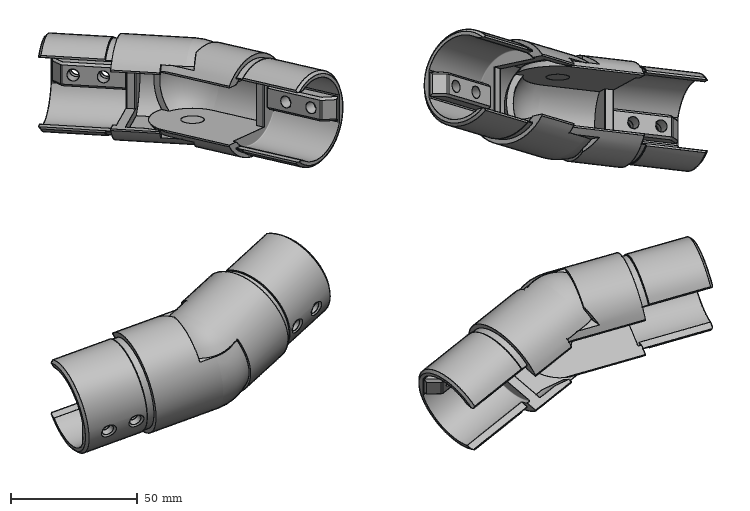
import cadquery as cq
import math

BEND_ANGLE = 25.0

BALL_RADIUS = 21.22
NECK_RADIUS = 19.3
SPIGOT_RADIUS = 19.7
SHOULDER_END = 30.0
NECK_END = 32.9
ARM_LENGTH = 60.0
END_CHAMFER = 1.1
NECK_CHAMFER = 0.3

SHOULDER_SLOT_HALF = 12.0
SHOULDER_FLAT_Y = -17.0
SHOULDER_SLOT_Y = 3.0
SPIGOT_SLOT_HALF = 14.5
SPIGOT_FLAT_Y = -12.2

HINGE_BORE_RADIUS = 18.3
SPIGOT_BORE_RADIUS = 17.1
BORE_FILLET = 0.4
WEB_START = 24.6
WEB_END = 28.5
WEB_FACE_Y = 8.8
WEB_CHAMFER = 0.4
BAR_SEAT_Y = 16.1

PLATE_Z = 15.0
CHEEK_Z = 15.3
PIN_RADIUS = 4.6

CHEEK_EDGE_X = 7.2
CHEEK_KINK_Y = -7.8
CHEEK_TOE_X = 11.4
CHEEK_TOE_Y = -15.2
CHEEK_TOP_Y = 15.5

SLEEVE_BACK_X = 6.0
SLEEVE_FRONT_X = 10.1
RIM_RELIEF_LENGTH = 17.1
RIM_RELIEF_ANGLE = 14.4

BAR_FACE_Y = 10.5
BAR_HALF_WIDTH = 5.0
BAR_SIDE_CHAMFER = 1.0
BAR_CORNER_CHAMFER = 0.5
BAR_END = 59.4
BAR_NOSE_LENGTH = 4.4
SCREW_POSITIONS = (37.9, 50.1)
SCREW_HOLE_RADIUS = 2.5
COUNTERSINK_RADIUS = 3.3

BIG = 3 * ARM_LENGTH


def box(x_range, y_range, z_range):
    size = [high - low for low, high in (x_range, y_range, z_range)]
    corner = (x_range[0], y_range[0], z_range[0])
    return cq.Workplane("XY").box(*size, centered=False).translate(corner)


def rod(radius, start, end):
    return cq.Workplane("YZ").workplane(offset=start).circle(radius).extrude(end - start)


def prism(outline, half_height):
    return cq.Workplane("XY").polyline(outline).close().extrude(half_height, both=True)


def ball(radius):
    return cq.Workplane("XY").sphere(radius)


def ball_ended_rod(radius, end):
    mid = radius * math.sqrt(0.5)
    outline = cq.Workplane("XY").moveTo(-radius, 0).threePointArc((-mid, mid), (0, radius))
    outline = outline.lineTo(end, radius).lineTo(end, 0).close()
    return outline.revolve(360, (0, 0, 0), (1, 0, 0))


def slab(half_height):
    return box((-BIG, BIG), (-BIG, BIG), (-half_height, half_height))


def screw_holes():
    """Holes through the back wall, each widened by a countersink at the spigot surface."""
    depth = COUNTERSINK_RADIUS - SCREW_HOLE_RADIUS
    outline = [
        (0, 0),
        (SCREW_HOLE_RADIUS, 0),
        (SCREW_HOLE_RADIUS, SPIGOT_RADIUS - depth),
        (COUNTERSINK_RADIUS, SPIGOT_RADIUS),
        (0, SPIGOT_RADIUS),
    ]
    hole = cq.Workplane("XY").polyline(outline).close().revolve(360, (0, 0, 0), (0, 1, 0))
    first, second = [hole.translate((x, 0, 0)) for x in SCREW_POSITIONS]
    return first.union(second)


def arm_outside():
    spigot = rod(SPIGOT_RADIUS, NECK_END, ARM_LENGTH).faces(">X").chamfer(END_CHAMFER)
    spigot = spigot.faces("<X").chamfer(NECK_CHAMFER)
    neck = rod(NECK_RADIUS, SHOULDER_END, NECK_END)
    return ball_ended_rod(BALL_RADIUS, SHOULDER_END).union(neck).union(spigot)


def spigot_bore():
    bore = rod(SPIGOT_BORE_RADIUS, WEB_END, ARM_LENGTH).faces("<X").edges().fillet(BORE_FILLET)
    return bore.intersect(box((0, BIG), (-BIG, BAR_SEAT_Y), (-BIG, BIG)))


def slot():
    """Open slot with flats along its lips, shallower at the web that the bar butts against."""
    shoulder_z = (-SHOULDER_SLOT_HALF, SHOULDER_SLOT_HALF)
    spigot_z = (-SPIGOT_SLOT_HALF, SPIGOT_SLOT_HALF)
    shoulder_slot = box((-BIG, BIG), (-BIG, SHOULDER_SLOT_Y), shoulder_z)
    web_outline = [
        (WEB_START, -BIG),
        (WEB_START, WEB_FACE_Y + WEB_CHAMFER),
        (WEB_START + WEB_CHAMFER, WEB_FACE_Y),
        (WEB_END - WEB_CHAMFER, WEB_FACE_Y),
        (WEB_END, WEB_FACE_Y + WEB_CHAMFER),
        (WEB_END, -BIG),
    ]
    web_slot = prism(web_outline, SHOULDER_SLOT_HALF)
    spigot_slot = box((SHOULDER_END, BIG), (-BIG, 0), spigot_z)
    shoulder_flat = box((-BIG, BIG), (-BIG, SHOULDER_FLAT_Y), (-BIG, BIG))
    spigot_flat = box((SHOULDER_END, BIG), (-BIG, SPIGOT_FLAT_Y), (-BIG, BIG))
    return shoulder_slot.union(web_slot).union(spigot_slot).union(shoulder_flat).union(spigot_flat)


def arm_tube():
    """Ball-ended tube shared by both arms, with its spigot bore, screw holes and bar seat."""
    tube = arm_outside().cut(spigot_bore())
    return tube.cut(screw_holes()).cut(clamping_bar())


def hinge_pins():
    pins = cq.Workplane("XY").circle(PIN_RADIUS).extrude(CHEEK_Z, both=True)
    return pins.cut(slab(SHOULDER_SLOT_HALF))


def cheek_clearance():
    """Space outside the plates, with a slanted toe, in which the cheeks swing."""
    outline = [
        (CHEEK_EDGE_X, CHEEK_TOP_Y),
        (CHEEK_EDGE_X, CHEEK_KINK_Y),
        (CHEEK_TOE_X, CHEEK_TOE_Y),
        (CHEEK_TOE_X, -BALL_RADIUS),
        (-BALL_RADIUS, -BALL_RADIUS),
        (-BALL_RADIUS, CHEEK_TOP_Y),
    ]
    return prism(outline, BALL_RADIUS).union(ball(BALL_RADIUS)).cut(slab(PLATE_Z))


def inner_arm():
    """Straight arm with the ball end and the two hinge plates."""
    hollow = ball_ended_rod(HINGE_BORE_RADIUS, WEB_START).intersect(slab(SHOULDER_SLOT_HALF))
    arm = arm_tube().cut(hollow).cut(slot())
    return arm.cut(cheek_clearance()).cut(hinge_pins())


def outer_arm():
    """Bent arm whose cheeks lie over the hinge plates of the straight arm."""
    gap = slab(CHEEK_Z)
    back_gap = box((-BIG, SLEEVE_BACK_X), (-BIG, BIG), (-BIG, BIG))
    front_gap = box((-BIG, SLEEVE_FRONT_X), (-BIG, 0), (-BIG, BIG))
    rim_relief = rod(BALL_RADIUS, 0, RIM_RELIEF_LENGTH)
    rim_relief = rim_relief.rotate((0, 0, 0), (0, 0, 1), RIM_RELIEF_ANGLE)
    rim_relief = rim_relief.intersect(box((-BIG, BIG), (-BIG, 0), (-BIG, BIG)))
    bore = rod(HINGE_BORE_RADIUS, 0, WEB_START)
    arm = arm_tube().cut(slot())
    for hollow in (back_gap, front_gap, rim_relief, bore, ball(BALL_RADIUS)):
        arm = arm.cut(hollow.intersect(gap))
    return arm.union(hinge_pins())


def clamping_bar():
    nose_start = BAR_END - BAR_NOSE_LENGTH
    outline = [
        (WEB_END, BAR_SEAT_Y),
        (WEB_END, BAR_FACE_Y),
        (nose_start, BAR_FACE_Y),
        (BAR_END, BAR_FACE_Y + BAR_NOSE_LENGTH),
        (BAR_END, BAR_SEAT_Y),
    ]
    bar = prism(outline, BAR_HALF_WIDTH)
    bar = bar.faces("<Y").edges("|Z").chamfer(BAR_CORNER_CHAMFER)
    bar = bar.edges("not (|Z or >X or <X or >Y)").chamfer(BAR_SIDE_CHAMFER)
    return bar.cut(screw_holes())


def swing_to_bend(body):
    return body.mirror("YZ").rotate((0, 0, 0), (0, 0, 1), BEND_ANGLE)


straight_arm = inner_arm()
bent_arm = swing_to_bend(outer_arm())
straight_bar = clamping_bar()
bars = [straight_bar, swing_to_bend(straight_bar)]

result = cq.Compound.makeCompound(
    [straight_arm.val(), bent_arm.val(), *[bar.val() for bar in bars]]
)